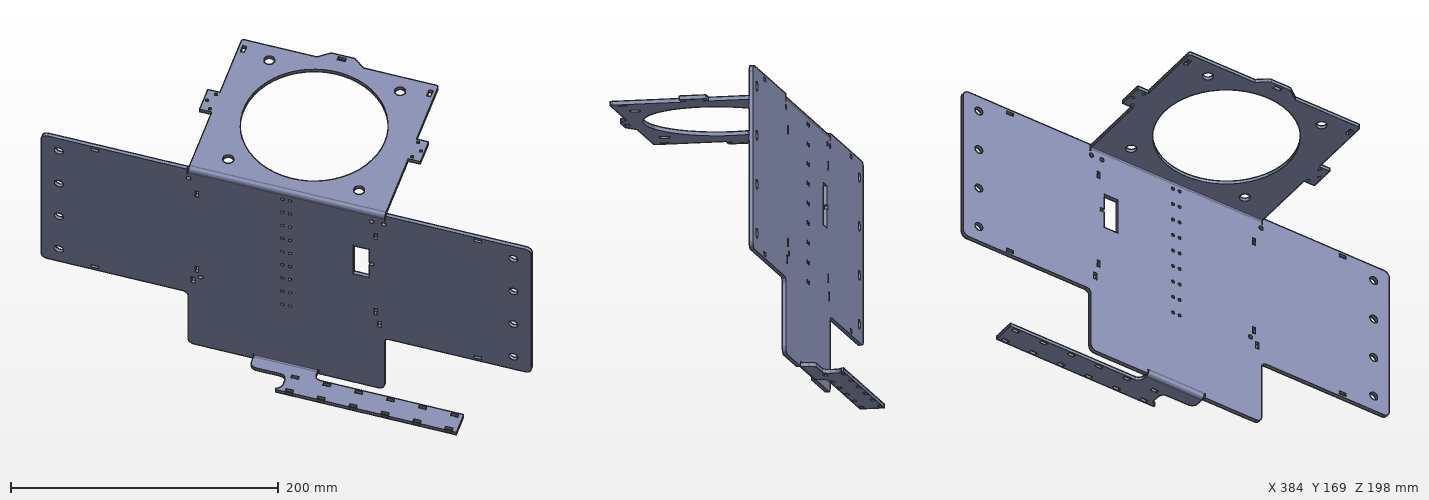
import cadquery as cq
import math


sheet = 3.0
bend_inner = 1.0
bend_outer = bend_inner + sheet
relief_width = 0.8
fan_relief_depth = 5.5
strip_relief_depth = 4.0

wing_span = 384.0
wing_height = 140.0
body_width = 154.0
total_height = 198.0
wing_corner = 5.0
body_corner = 5.0
inside_corner = 4.0

wing_hole_diameter = 7.0
wing_hole_inset = 14.0
wing_hole_rows = 4
wing_slot_x = 150.0
wing_slot_inset = 3.5
slot_length = 6.0
slot_width = 3.0
narrow_slot_width = 2.5
grid_hole_diameter = 2.5
grid_column_gap = 6.0
grid_pitch = 15.0
grid_rows = 9
grid_top_z = -8.5
narrow_slot_x = 70.0
narrow_slot_top_z = -26.0
narrow_slot_bottom_z = -112.0
side_slot_x = 73.0
side_slot_z = -125.3
pin_diameter = 3.6
pin_x = 67.0
outer_pin_x = 76.5
pin_top_z = -10.0
pin_bottom_z = -119.8
window_left = 52.5
window_right = 65.0
window_height = 32.0
window_z = -58.5
notch_length = 3.5
notch_height = 3.0

fan_flange_depth = 135.0
fan_flange_corner = 2.0
fan_center_y = 70.0
fan_diameter = 110.5
fan_screw_offset = 51.25
fan_screw_diameter = 8.3
ear_depth = 7.0
ear_base_width = 36.5
ear_top_width = 18.5
ear_blend = 4.0
ear_slot_y = 138.5
fan_slot_y = 126.0
tab_reach = 9.5
tab_width = 20.5
tab_center_y = 69.6
tab_hole_diameter = 2.2
tab_inner_hole_x = 79.2
tab_outer_hole_x = 83.8
tab_hole_pitch = 15.0

strip_front_y = -27.0
strip_back_y = -8.5
strip_end_x = 141.8
strip_start_x = 0.0
foot_left_x = -25.3
foot_right_x = 24.7
foot_front_y = -11.0
foot_corner = 5.0
scallop_right_x = 4.0
scallop_height = 14.5
scallop_corner = 5.0
strip_slot_start_x = 10.25
strip_slot_length = 5.6
strip_slot_pitch = 25.0
strip_slot_count = 6
strip_slot_back_y = -11.0
strip_slot_front_y = -25.0


def upright_sheet(outline):
    """Upright sheet from an X-Z outline, with its front face on Y = 0."""
    return outline.extrude(-sheet)


def upright(points):
    """Workplane of the upright plate with (x, z) locations selected."""
    return cq.Workplane("XZ").pushPoints(points)


def through_upright(tool_outline):
    """Cutter that passes right through the upright plate."""
    return tool_outline.extrude(2 * sheet, both=True)


def level_sheet(outline, bottom_z):
    """Horizontal sheet from an X-Y outline."""
    return outline.extrude(sheet).translate((0, 0, bottom_z))


def level(points):
    """Horizontal workplane with (x, y) locations selected."""
    return cq.Workplane("XY").pushPoints(points)


def through_level(tool_outline, z):
    """Cutter that passes right through a level sheet near height z."""
    return tool_outline.extrude(2 * sheet, both=True).translate((0, 0, z))


def mirrored(x, rows):
    """Places at -x and +x for each row."""
    return [(side * x, row) for side in (-1, 1) for row in rows]


def upright_plate():
    """Two wings and a taller body, without any openings."""
    wings = upright_sheet(
        cq.Workplane("XZ").center(0, -wing_height / 2).rect(wing_span, wing_height)
    ).edges("|Y").fillet(wing_corner)
    body = upright_sheet(
        cq.Workplane("XZ").center(0, -total_height / 2).rect(body_width, total_height)
    ).edges("|Y and <Z").fillet(body_corner)
    plate = wings.union(body)
    inside_edges = cq.selectors.BoxSelector(
        (-body_width / 2 - sheet, -sheet, -wing_height - sheet),
        (body_width / 2 + sheet, 2 * sheet, -wing_height + sheet),
    )
    return plate.edges("|Y").edges(inside_edges).fillet(inside_corner)


def cut_upright_openings(plate):
    """Cut the holes, slots and notched window of the upright plate."""
    hole_step = (wing_height - 2 * wing_hole_inset) / (wing_hole_rows - 1)
    hole_heights = [-wing_hole_inset - row * hole_step for row in range(wing_hole_rows)]
    hole_x = wing_span / 2 - wing_hole_inset
    wing_holes = upright(mirrored(hole_x, hole_heights)).circle(wing_hole_diameter / 2)

    slot_heights = [-wing_slot_inset, wing_slot_inset - wing_height]
    wing_slots = upright(mirrored(wing_slot_x, slot_heights)).rect(slot_length, narrow_slot_width)

    grid_heights = [grid_top_z - row * grid_pitch for row in range(grid_rows)]
    grid_holes = upright(mirrored(grid_column_gap / 2, grid_heights)).circle(grid_hole_diameter / 2)

    narrow_heights = [narrow_slot_top_z, narrow_slot_bottom_z]
    narrow_slots = upright(mirrored(narrow_slot_x, narrow_heights)).rect(narrow_slot_width, slot_length)
    side_slots = upright(mirrored(side_slot_x, [side_slot_z])).rect(slot_width, slot_length)

    pin_places = mirrored(outer_pin_x, [pin_top_z]) + [(pin_x, pin_top_z), (-pin_x, pin_bottom_z)]
    pin_holes = upright(pin_places).circle(pin_diameter / 2)

    window_width = window_right - window_left
    window = upright([((window_left + window_right) / 2, window_z)]).rect(window_width, window_height)
    notch_reach = window_width / 2 + notch_length
    notch_x = window_right + notch_length - notch_reach / 2
    notch = upright([(notch_x, window_z)]).rect(notch_reach, notch_height)

    for opening in (wing_holes, wing_slots, grid_holes, narrow_slots, side_slots, pin_holes, window, notch):
        plate = plate.cut(through_upright(opening))
    return plate


def bend_profile(run):
    """Y-Z section of a bend: the upright sheet turns into a level sheet at Z = 0.

    The level sheet heads towards +Y and ends at Y = run.
    """
    diagonal = math.sqrt(0.5)
    outer_mid = bend_outer * (1 - diagonal)
    inner_mid = bend_outer - bend_inner * diagonal
    return (
        cq.Workplane("YZ")
        .moveTo(0, -bend_outer)
        .threePointArc((outer_mid, -outer_mid), (bend_outer, 0))
        .lineTo(run, 0)
        .lineTo(run, -sheet)
        .lineTo(bend_outer, -sheet)
        .threePointArc((inner_mid, -inner_mid), (sheet, -bend_outer))
        .close()
    )


def fan_flange():
    """Level panel with the fan opening, a rear ear, two side tabs and the bend at its front."""
    depth = fan_flange_depth - bend_outer
    panel = level_sheet(
        cq.Workplane("XY").center(0, bend_outer + depth / 2).rect(body_width, depth), -sheet
    ).edges("|Z and >Y").fillet(fan_flange_corner)

    ear = level_sheet(
        cq.Workplane("XY").polyline([
            (-ear_base_width / 2, fan_flange_depth),
            (-ear_top_width / 2, fan_flange_depth + ear_depth),
            (ear_top_width / 2, fan_flange_depth + ear_depth),
            (ear_base_width / 2, fan_flange_depth),
        ]).close(),
        -sheet,
    ).edges("|Z and >Y").fillet(ear_blend)

    tabs = level_sheet(
        cq.Workplane("XY").center(0, tab_center_y).rect(body_width + 2 * tab_reach, tab_width), -sheet
    )
    flange = panel.union(ear).union(tabs)

    fan_opening = level([(0, fan_center_y)]).circle(fan_diameter / 2)
    screw_rows = [fan_center_y - fan_screw_offset, fan_center_y + fan_screw_offset]
    screws = level(mirrored(fan_screw_offset, screw_rows)).circle(fan_screw_diameter / 2)
    ear_slot = level([(0, ear_slot_y)]).rect(slot_length, slot_width)
    side_slots = level(mirrored(side_slot_x, [fan_slot_y])).rect(slot_width, slot_length)
    tab_rows = [tab_center_y - tab_hole_pitch / 2, tab_center_y + tab_hole_pitch / 2]
    tab_places = mirrored(tab_inner_hole_x, tab_rows) + mirrored(tab_outer_hole_x, [tab_center_y])
    tab_holes = level(tab_places).circle(tab_hole_diameter / 2)
    for opening in (fan_opening, screws, ear_slot, side_slots, tab_holes):
        flange = flange.cut(through_level(opening, 0))

    bend = bend_profile(bend_outer + sheet).extrude(body_width).translate((-body_width / 2, 0, 0))
    return flange.union(bend)


def slotted_strip():
    """Level foot and strip with two rows of slots, and the bend at the back of the foot."""
    bottom_z = -total_height
    start_y = sheet - bend_outer
    round_x = scallop_right_x - scallop_corner
    upper_round_y = foot_front_y - scallop_corner
    lower_round_y = foot_front_y - scallop_height + scallop_corner
    scallop_end_y = lower_round_y - math.sqrt(scallop_corner**2 - (strip_start_x - round_x) ** 2)
    strip = level_sheet(
        cq.Workplane("XY")
        .moveTo(foot_left_x, start_y)
        .lineTo(foot_left_x, foot_front_y + foot_corner)
        .radiusArc((foot_left_x + foot_corner, foot_front_y), -foot_corner)
        .lineTo(round_x, foot_front_y)
        .radiusArc((scallop_right_x, upper_round_y), scallop_corner)
        .lineTo(scallop_right_x, lower_round_y)
        .radiusArc((strip_start_x, scallop_end_y), scallop_corner)
        .lineTo(strip_start_x, strip_front_y)
        .lineTo(strip_end_x, strip_front_y)
        .lineTo(strip_end_x, strip_back_y)
        .lineTo(foot_right_x + foot_corner, strip_back_y)
        .radiusArc((foot_right_x, strip_back_y + foot_corner), foot_corner)
        .lineTo(foot_right_x, start_y)
        .close(),
        bottom_z,
    )
    slot_places = [
        (strip_slot_start_x + index * strip_slot_pitch, row_y)
        for index in range(strip_slot_count)
        for row_y in (strip_slot_back_y, strip_slot_front_y)
    ]
    slots = level(slot_places).rect(strip_slot_length, narrow_slot_width)
    strip = strip.cut(through_level(slots, bottom_z))

    bend = (
        bend_profile(bend_outer + sheet)
        .extrude(foot_right_x - foot_left_x)
        .rotate((0, 0, 0), (1, 0, 0), 180)
        .translate((foot_left_x, sheet, bottom_z))
    )
    return strip.union(bend)


def clear_fan_bend(plate):
    """Remove the plate's top edge between the wings and cut the relief slits beside the bend."""
    top = through_upright(upright([(0, 0)]).rect(body_width, 2 * bend_outer))
    slit_x = body_width / 2 + relief_width / 2
    slits = through_upright(upright(mirrored(slit_x, [0])).rect(relief_width, 2 * fan_relief_depth))
    return plate.cut(top).cut(slits)


def clear_strip_bend(plate):
    """Remove the plate's bottom edge where the strip is bent off and slit it beside the bend."""
    middle_x = (foot_left_x + foot_right_x) / 2
    notch = upright([(middle_x, -total_height)]).rect(foot_right_x - foot_left_x, 2 * bend_outer)
    slit_places = [
        (foot_left_x - relief_width / 2, -total_height),
        (foot_right_x + relief_width / 2, -total_height),
    ]
    slits = upright(slit_places).rect(relief_width, 2 * strip_relief_depth)
    return plate.cut(through_upright(notch)).cut(through_upright(slits))


plate = cut_upright_openings(upright_plate())
plate = clear_strip_bend(clear_fan_bend(plate))
result = plate.union(fan_flange()).union(slotted_strip())